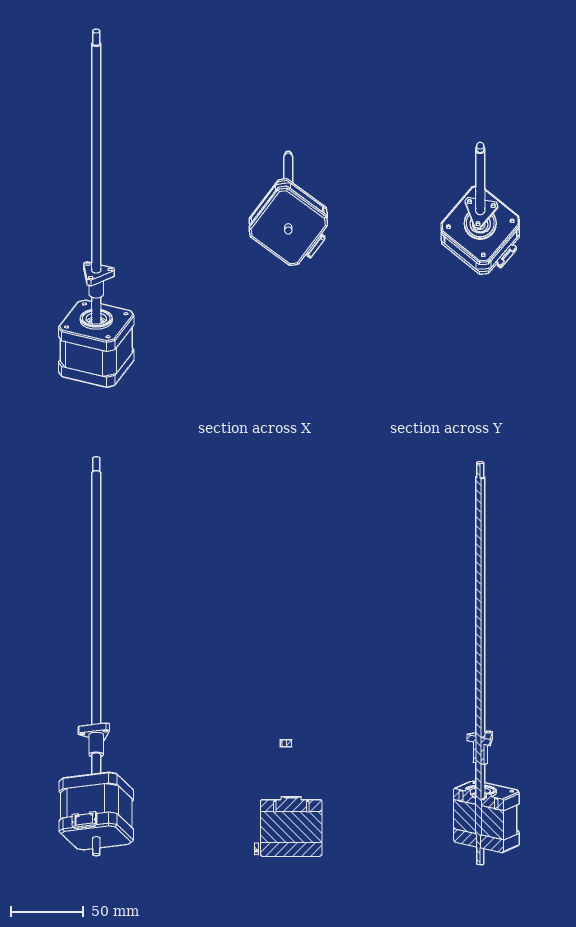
import cadquery as cq
import math


motor_width = 42.3
motor_height = 39.0
front_cap_height = 8.5
rear_cap_height = 9.5
cap_corner_radius = 27.0
stator_corner_radius = 25.2
front_chamfer = 1.0
rear_chamfer = 1.5

mount_hole_spacing = 31.0
mount_hole_diameter = 2.5
mount_hole_depth = 4.3
boss_diameter = 22.0
boss_height = 2.0
boss_chamfer = 0.3
boss_recess_diameter = 19.0
boss_recess_depth = 0.5
bore_diameter = 14.0
bore_depth = 4.0
inner_bore_diameter = 10.5
inner_bore_depth = 1.5
coil_count = 8
coil_pocket_radius = 14.8
coil_pocket_length = 2.5
coil_pocket_width = 5.0
coil_pocket_roof = 1.1

screw_diameter = 6.5
journal_diameter = 5.0
total_length = 289.5
screw_top = 238.2
upper_journal_length = 10.0
screw_chamfer = 0.5

flange_top = 41.0
flange_thickness = 5.0
flange_diameter = 25.0
flange_flat_distance = 7.5
nut_hole_radius = 9.5
nut_hole_diameter = 3.0
nut_corner_angles = (30, 150, 270)
barrel_diameter = 10.0
barrel_length = 14.5

connector_width = 17.0
connector_neck_width = 15.3
connector_reach = 4.0
connector_neck_reach = 1.2
connector_chamfer = 1.5
connector_wall = 1.2
socket_depth = 2.5
key_notch_width = 8.7
side_groove_bottom = 3.5
side_groove_height = 1.0
side_groove_depth = 0.5

motor_bottom = -motor_height
stator_top = -front_cap_height
stator_bottom = motor_bottom + rear_cap_height
screw_bottom = screw_top - total_length
screw_shoulder = screw_top - upper_journal_length
bore_floor = boss_height - bore_depth
inner_bore_floor = bore_floor - inner_bore_depth
flange_bottom = flange_top - flange_thickness
barrel_bottom = flange_bottom - barrel_length
connector_height = rear_cap_height


def cylinder(diameter, bottom, top):
    """A cylinder on the shaft axis between two levels."""
    return cq.Workplane("XY").workplane(offset=bottom).circle(diameter / 2).extrude(top - bottom)


def housing_block(corner_radius, bottom, top):
    """A square block whose corners are rounded about the shaft axis."""
    square = cq.Workplane("XY").workplane(offset=bottom).rect(motor_width, motor_width).extrude(top - bottom)
    return square.intersect(cylinder(2 * corner_radius, bottom, top))


def make_boss():
    boss = cylinder(boss_diameter, 0, boss_height).faces(">Z").edges().chamfer(boss_chamfer)
    return boss.cut(cylinder(boss_recess_diameter, boss_height - boss_recess_depth, boss_height))


def make_mount_holes():
    return (
        cq.Workplane("XY")
        .rect(mount_hole_spacing, mount_hole_spacing, forConstruction=True)
        .vertices()
        .circle(mount_hole_diameter / 2)
        .extrude(-mount_hole_depth)
    )


def make_coil_pockets():
    """Pockets in the underside of the front cap, evenly spaced about the axis."""
    return (
        cq.Workplane("XY")
        .workplane(offset=stator_top)
        .polarArray(coil_pocket_radius, 0, 360, coil_count)
        .rect(coil_pocket_length, coil_pocket_width)
        .extrude(front_cap_height - coil_pocket_roof)
    )


def make_front_cap():
    cap = housing_block(cap_corner_radius, stator_top, 0).faces(">Z").edges().chamfer(front_chamfer)
    cap = cap.union(make_boss())
    cap = cap.cut(cylinder(bore_diameter, bore_floor, boss_height))
    cap = cap.cut(cylinder(inner_bore_diameter, inner_bore_floor, bore_floor))
    cap = cap.cut(cylinder(screw_diameter, stator_top, inner_bore_floor))
    return cap.cut(make_mount_holes()).cut(make_coil_pockets())


def make_stator():
    core = housing_block(stator_corner_radius, stator_bottom, stator_top)
    return core.cut(cylinder(screw_diameter, stator_bottom, stator_top))


def make_rear_cap():
    cap = housing_block(cap_corner_radius, motor_bottom, stator_bottom)
    cap = cap.faces("<Z").edges().chamfer(rear_chamfer)
    return cap.cut(cylinder(journal_diameter, motor_bottom, stator_bottom))


def make_screw():
    thread = cylinder(screw_diameter, stator_bottom, screw_shoulder)
    thread = thread.faces(">Z").edges().chamfer(screw_chamfer)
    return thread.union(cylinder(journal_diameter, screw_bottom, screw_top))


def make_nut():
    plane = cq.Workplane("XY").workplane(offset=flange_bottom)
    corners = [
        (
            2 * flange_flat_distance * math.cos(math.radians(angle)),
            2 * flange_flat_distance * math.sin(math.radians(angle)),
        )
        for angle in nut_corner_angles
    ]
    flange = plane.polyline(corners).close().extrude(flange_thickness)
    flange = flange.intersect(cylinder(flange_diameter, flange_bottom, flange_top))
    hole_centres = [
        (nut_hole_radius * math.cos(math.radians(angle)), nut_hole_radius * math.sin(math.radians(angle)))
        for angle in nut_corner_angles
    ]
    holes = plane.pushPoints(hole_centres).circle(nut_hole_diameter / 2).extrude(flange_thickness)
    nut = flange.cut(holes).union(cylinder(barrel_diameter, barrel_bottom, flange_bottom))
    return nut.cut(cylinder(screw_diameter, barrel_bottom, flange_top))


def connector_box(width, near, far, bottom, top):
    """A box centred on X; near and far are distances from the back of the motor."""
    box = cq.Workplane("XY").box(width, far - near, top - bottom, centered=(True, False, False))
    return box.translate((0, motor_width / 2 + near, motor_bottom + bottom))


def make_connector():
    block = connector_box(connector_width, connector_neck_reach, connector_reach, 0, connector_height)
    block = block.edges("|Y and <Z").chamfer(connector_chamfer)
    neck = connector_box(connector_neck_width, 0, connector_neck_reach, connector_chamfer, connector_height)
    socket_floor = connector_reach - socket_depth
    socket = connector_box(
        connector_neck_width - 2 * connector_wall,
        socket_floor,
        connector_reach,
        connector_chamfer,
        connector_height - connector_wall,
    )
    key_notch = connector_box(
        key_notch_width, socket_floor, connector_reach, connector_height - connector_wall, connector_height
    )
    groove_top = side_groove_bottom + side_groove_height
    groove_band = connector_box(
        connector_width, connector_neck_reach, connector_reach, side_groove_bottom, groove_top
    )
    groove_core = connector_box(
        connector_width - 2 * side_groove_depth,
        connector_neck_reach,
        connector_reach,
        side_groove_bottom,
        groove_top,
    )
    side_grooves = groove_band.cut(groove_core)
    return block.union(neck).cut(socket).cut(key_notch).cut(side_grooves)


front_cap = make_front_cap()
stator = make_stator()
rear_cap = make_rear_cap()
screw = make_screw()
nut = make_nut()
connector = make_connector()

result = cq.Compound.makeCompound(
    [front_cap.val(), stator.val(), rear_cap.val(), screw.val(), nut.val(), connector.val()]
)